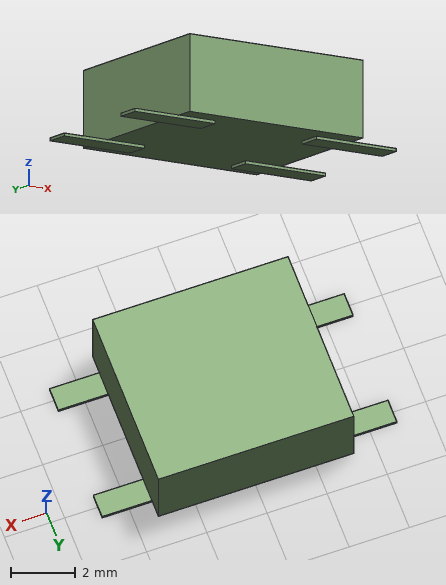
import cadquery as cq

overall_length = 9.8

housing_length = 6.5
housing_width = 6.0
housing_height = 2.5

lead_length = 3.0
lead_width = 0.8
lead_thickness = 0.1
lead_pitch = 4.0

lead_center_x = (overall_length - lead_length) / 2
lead_center_y = lead_pitch / 2


def make_housing():
    """Plain block whose underside rests on the leads at Z = lead_thickness."""
    return (
        cq.Workplane("XY")
        .workplane(offset=lead_thickness)
        .box(housing_length, housing_width, housing_height, centered=(True, True, False))
    )


def make_lead(center_x, center_y):
    """Flat strip with its underside at Z = 0."""
    return (
        cq.Workplane("XY")
        .center(center_x, center_y)
        .box(lead_length, lead_width, lead_thickness, centered=(True, True, False))
    )


housing = make_housing()

leads = []
for side_x in (-1, 1):
    for side_y in (-1, 1):
        leads.append(make_lead(side_x * lead_center_x, side_y * lead_center_y))

result = cq.Compound.makeCompound([housing.val(), *[lead.val() for lead in leads]])